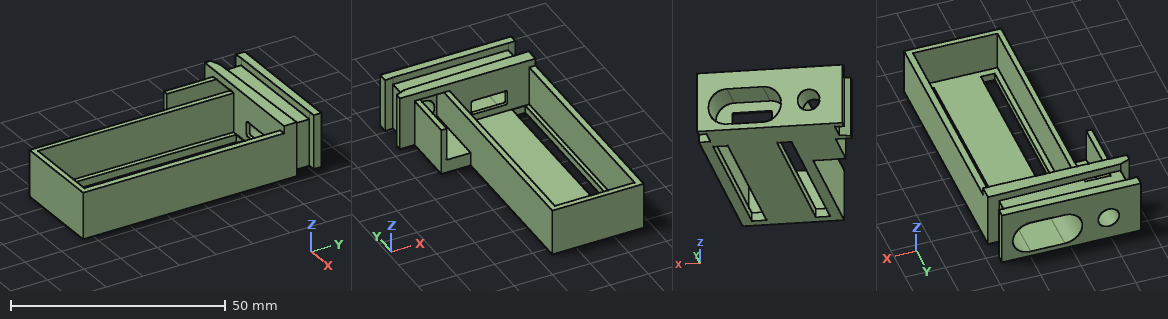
import cadquery as cq

total_width = 35.7
total_length = 65.6
total_height = 14.4
body_height = 12.45

tray_left = 11.6
tray_length = 54.85
wall = 1.45
right_wall = 1.7
floor_thickness = 2.05
slot_margin = 3.2
slot_end = 54.7
left_slot = (14.35, 17.8)
right_slot = (29.45, 32.9)

neck_left = 2.55
neck_right = 32.9
back_flange_left = 0.4
back_flange_right = 34.85
back_flange_left_tip_thickness = 2.55
back_flange_left_thickness = 2.35
back_flange_right_thickness = 2.15
front_flange_tip_thickness = 1.65
front_flange_left_thickness = 2.6
front_flange_right_thickness = 3.5

bracket_left = 3.9
bracket_start = 41.3
bracket_floor = 3.6
recess_end = 58.45
cable_hole_diameter = 5.2
cable_hole_x = 8.4

plug_x = (tray_left + wall + total_width - right_wall) / 2
plug_z = 5.8
window_width = 9.4
window_height = 3.9
window_corner_radius = 0.45
window_depth = 0.9
cavity_diameter = 8.7
cavity_width = 17.2


def block(x_range, y_range, z_range):
    """Box spanning the given X, Y and Z ranges."""
    (x0, x1), (y0, y1), (z0, z1) = x_range, y_range, z_range
    return cq.Workplane("XY").box(x1 - x0, y1 - y0, z1 - z0, centered=False).translate((x0, y0, z0))


def section(y):
    """Workplane at the given Y, facing +Y; its local x runs along -X."""
    return cq.Workplane("XZ", origin=(0, y, 0)).transformed(rotate=(0, 180, 0))


def make_tray():
    tray = block((tray_left, total_width), (0, tray_length), (0, body_height))
    inside = block(
        (tray_left + wall, total_width - right_wall), (wall, tray_length), (floor_thickness, body_height)
    )
    tray = tray.cut(inside)
    for slot in (left_slot, right_slot):
        tray = tray.cut(block(slot, (slot_margin, slot_end), (0, floor_thickness)))
    return tray


def make_head():
    neck = block((neck_left, neck_right), (tray_length, total_length), (0, body_height))
    front_flange = (
        cq.Workplane("XY")
        .polyline([
            (0, tray_length),
            (total_width, tray_length),
            (total_width, tray_length + front_flange_right_thickness),
            (neck_left, tray_length + front_flange_left_thickness),
            (0, tray_length + front_flange_tip_thickness),
        ])
        .close()
        .extrude(total_height)
    )
    back_flange = (
        cq.Workplane("XY")
        .polyline([
            (back_flange_left, total_length - back_flange_left_tip_thickness),
            (neck_left, total_length - back_flange_left_thickness),
            (neck_right, total_length - back_flange_right_thickness),
            (back_flange_right, total_length - back_flange_right_thickness),
            (back_flange_right, total_length),
            (back_flange_left, total_length),
        ])
        .close()
        .extrude(total_height)
    )
    return neck.union(front_flange).union(back_flange)


def make_bracket():
    return block((bracket_left, tray_left), (bracket_start, tray_length), (0, body_height))


def make_cable_passage():
    """Recess above the bracket floor, followed by a round hole out of the back."""
    recess_left = bracket_left + wall
    recess = block((recess_left, tray_left), (bracket_start, recess_end), (bracket_floor, body_height))
    hole = (
        section(recess_end)
        .center(-cable_hole_x, bracket_floor + cable_hole_diameter / 2)
        .circle(cable_hole_diameter / 2)
        .extrude(total_length - recess_end)
    )
    return recess.union(hole)


def make_plug_passage():
    """Round-cornered window opening into a round-ended cavity that runs out of the back."""
    cavity_start = tray_length + window_depth
    window = (
        section(tray_length)
        .center(-plug_x, plug_z)
        .rect(window_width, window_height)
        .extrude(window_depth)
        .edges("|Y")
        .fillet(window_corner_radius)
    )
    cavity = (
        section(cavity_start)
        .center(-plug_x, plug_z)
        .slot2D(cavity_width, cavity_diameter)
        .extrude(total_length - cavity_start)
    )
    return window.union(cavity)


body = make_tray().union(make_head()).union(make_bracket())
result = body.cut(make_cable_passage()).cut(make_plug_passage())